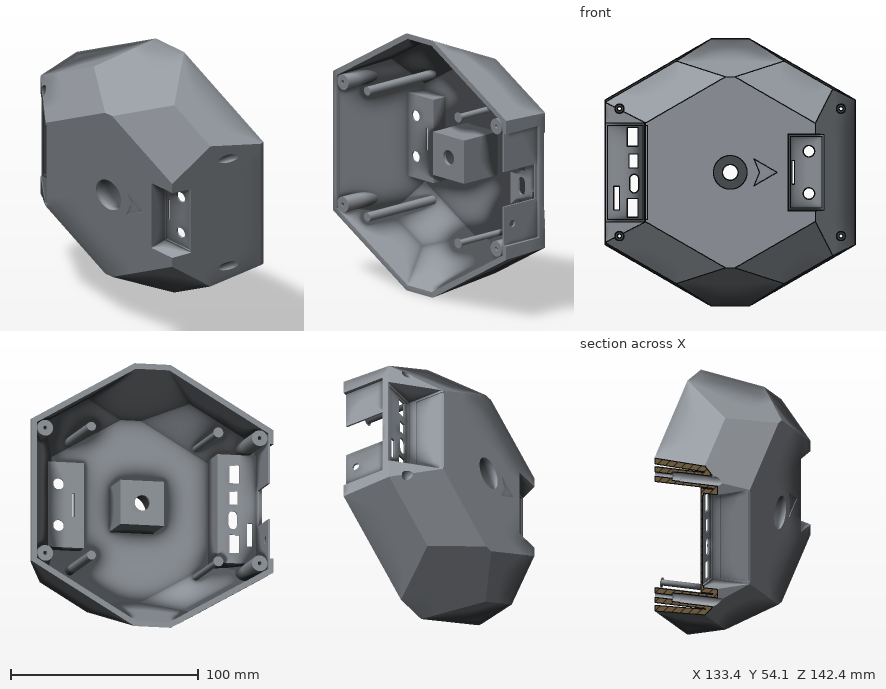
import cadquery as cq

DEPTH = 49.0
WALL = 3.0
PLATE = 1.0
PANEL_INSET = 0.7
BREAK_Y = -28.8

RIM_APOTHEM = 66.7
BREAK_APOTHEM = 65.7
FRONT_APOTHEM = 45.3
LEFT_FRONT_APOTHEM = 45.0
TIP_HEIGHT = 71.2
TIP_FRONT_HEIGHT = 50.9
RIM_BAND = 2.3

DIAGONAL_PROFILE = [(RIM_APOTHEM, 0), (BREAK_APOTHEM, BREAK_Y), (FRONT_APOTHEM, -DEPTH)]
LEFT_PROFILE = [(RIM_APOTHEM, 0), (RIM_APOTHEM, BREAK_Y), (LEFT_FRONT_APOTHEM, -DEPTH)]
RIGHT_PROFILE = [(RIM_APOTHEM, 0), (RIM_APOTHEM, -RIM_BAND), (FRONT_APOTHEM, -DEPTH)]
TIP_PROFILE = [(TIP_HEIGHT, 0), (TIP_FRONT_HEIGHT, -DEPTH)]

FACETS = {
    0: RIGHT_PROFILE,
    60: DIAGONAL_PROFILE,
    90: TIP_PROFILE,
    120: DIAGONAL_PROFILE,
    180: LEFT_PROFILE,
    240: DIAGONAL_PROFILE,
    270: TIP_PROFILE,
    300: DIAGONAL_PROFILE,
}
REACH = 171.0

BAY_HALF_HEIGHT = 26.4
BAY_WALL_X = -45.6
BAY_FLOOR_Y = -28.0
BAY_PANEL_X = (-65.4, -46.5)
BAY_PANEL_HALF_HEIGHT = 25.1
BAY_RELIEF = 0.4
BAY_RELIEF_Y = -32.2
BAY_BEVEL_X = -44.0
BAY_BEVEL_HEIGHT = 0.9
TALL_PORT_X = (-54.7, -49.2)
TALL_PORT_Z = (14.0, 23.8)
SMALL_PORT_X = (-53.9, -49.2)
SMALL_PORT_Z = (2.4, 9.7)
ROUND_PORT_X = -51.2
ROUND_PORT_Z = -6.0
ROUND_PORT_WIDTH = 4.7
ROUND_PORT_LENGTH = 9.8
CARD_PORT_X = (-62.0, -59.0)
CARD_PORT_Z = (-20.0, -7.4)

SENSOR_X = (31.0, 67.0)
SENSOR_HALF_HEIGHT = 20.1
SENSOR_FLOOR_Y = -39.0
SENSOR_PANEL_X = (32.0, 48.7)
SENSOR_PANEL_HALF_HEIGHT = 19.1
SENSOR_HOLE_X = 41.9
SENSOR_HOLE_Z = 11.3
SENSOR_HOLE_DIAMETER = 6.0
SENSOR_DRAFT = 2.5
SLIT_X = (32.9, 34.2)
SLIT_HALF_HEIGHT = 6.3

RECESS_DEPTH = WALL - PLATE
RECESS_HALF_HEIGHT = 31.0
RECESS_END_Y = -24.5
RECESS_CORNER = 0.5
SHEET_EDGE_Y = -0.3
WINDOW_HALF_HEIGHT = 9.7
WINDOW_END_Y = -23.2
SIDE_HOLE_Y = -6.4
SIDE_HOLE_Z = -20.0
SIDE_HOLE_DIAMETER = 4.0

BORE_DIAMETER = 18.0
BORE_HOLE_DIAMETER = 8.3
CENTRE_BOSS_WIDTH = 24.0
CENTRE_BOSS_END_Y = -21.5
BORE_FLOOR = 2.0

ARROW_TIP_X = 25.0
ARROW_NOTCH_X = 15.5
ARROW_TAIL_X = 12.7
ARROW_HALF_HEIGHT = 7.1
ARROW_DEPTH = 0.4

SCREW_X = 59.0
SCREW_Z = 33.9
SCREW_BOSS_DIAMETER = 8.5
SCREW_HOLE_DIAMETER = 2.1
HEAD_DIAMETER = 5.0
HEAD_SEAT_DIAMETER = 4.5
HEAD_SEAT_Y = -10.0
HEAD_STEP_Y = -14.2

PEG_OFFSET = 34.9
PEG_START_Y = -43.5
PEG_END_Y = 5.1
PEG_DIAMETER = 4.8
THIN_PEG_DIAMETER = 3.3
PEG_HEAD_DIAMETER = 5.4
PEG_HEAD = 0.3


def box(x_range, y_range, z_range):
    """Box between two limits along each axis."""
    sizes = [high - low for low, high in (x_range, y_range, z_range)]
    corner = (x_range[0], y_range[0], z_range[0])
    return cq.Workplane("XY").box(*sizes, centered=False).translate(corner)


def rod(x, z, diameter, y_start, y_end):
    """Cylinder along Y."""
    plane = cq.Workplane("XZ", origin=(0, y_start, 0))
    return plane.center(x, z).circle(diameter / 2).extrude(y_start - y_end)


def both(half):
    """Limits of a span that is symmetric about zero."""
    return (-half, half)


def faceted_solid(inset, front_y):
    """Convex solid bounded by all facets moved inwards by `inset` and cut at `front_y`."""
    solid = box(both(REACH), (front_y, 0), both(REACH))
    for angle, profile in FACETS.items():
        edge = [(distance - inset, y) for distance, y in profile]
        outline = [(-REACH, 0)] + edge + [(-REACH, -DEPTH)]
        slab = cq.Workplane("XY").polyline(outline).close().extrude(REACH, both=True)
        solid = solid.intersect(slab.rotate((0, 0, 0), (0, 1, 0), -angle))
    return solid


def inner_supports():
    """Walls around the bays, the centre boss and the screw bosses, before clipping."""
    panel_back = PANEL_INSET + PLATE
    bay_x = (-REACH, BAY_WALL_X + WALL)
    bay_y = (-DEPTH, BAY_FLOOR_Y + panel_back)
    supports = box(bay_x, bay_y, both(BAY_HALF_HEIGHT + WALL))
    sensor_x = (SENSOR_X[0] - WALL, SENSOR_X[1])
    sensor_y = (-DEPTH, SENSOR_FLOOR_Y + panel_back)
    supports = supports.union(box(sensor_x, sensor_y, both(SENSOR_HALF_HEIGHT + WALL)))
    boss_span = both(CENTRE_BOSS_WIDTH / 2)
    supports = supports.union(box(boss_span, (-DEPTH, CENTRE_BOSS_END_Y), boss_span))
    for x in both(SCREW_X):
        for z in both(SCREW_Z):
            supports = supports.union(rod(x, z, SCREW_BOSS_DIAMETER, -DEPTH, 0))
    return supports


def port_bay():
    """Everything removed for the port bay."""
    relief_half = BAY_PANEL_HALF_HEIGHT
    cut = box((-REACH, BAY_WALL_X), (-REACH, BAY_FLOOR_Y), both(BAY_HALF_HEIGHT))
    relief_x = BAY_WALL_X + BAY_RELIEF
    cut = cut.union(box((-REACH, relief_x), (-REACH, BAY_RELIEF_Y), both(relief_half)))

    bevel_points = [
        (BAY_BEVEL_X, -DEPTH),
        (relief_x, -DEPTH + BAY_BEVEL_HEIGHT),
        (relief_x, -DEPTH),
    ]
    bevel = cq.Workplane("XY").polyline(bevel_points).close()
    cut = cut.union(bevel.extrude(relief_half, both=True))

    panel_y = (BAY_FLOOR_Y - PANEL_INSET, BAY_FLOOR_Y + PANEL_INSET)
    cut = cut.union(box(BAY_PANEL_X, panel_y, both(BAY_PANEL_HALF_HEIGHT)))
    through = (BAY_FLOOR_Y - PLATE, BAY_FLOOR_Y + WALL)
    lower_tall_z = (-TALL_PORT_Z[1], -TALL_PORT_Z[0])
    cut = cut.union(box(TALL_PORT_X, through, TALL_PORT_Z))
    cut = cut.union(box(TALL_PORT_X, through, lower_tall_z))
    cut = cut.union(box(SMALL_PORT_X, through, SMALL_PORT_Z))
    cut = cut.union(box(CARD_PORT_X, through, CARD_PORT_Z))
    round_port = cq.Workplane("XZ", origin=(ROUND_PORT_X, through[0], ROUND_PORT_Z))
    round_port = round_port.slot2D(ROUND_PORT_LENGTH, ROUND_PORT_WIDTH, 90)
    return cut.union(round_port.extrude(through[0] - through[1]))


def sensor_bay():
    """Everything removed for the sensor bay."""
    middle = (SENSOR_X[0] + SENSOR_X[1]) / 2
    floor = cq.Workplane("XZ", origin=(middle, SENSOR_FLOOR_Y, 0))
    floor = floor.rect(SENSOR_X[1] - SENSOR_X[0], 2 * SENSOR_HALF_HEIGHT)
    cut = floor.extrude(DEPTH + SENSOR_FLOOR_Y, taper=-SENSOR_DRAFT)
    panel_y = (SENSOR_FLOOR_Y - PANEL_INSET, SENSOR_FLOOR_Y + PANEL_INSET)
    cut = cut.union(box(SENSOR_PANEL_X, panel_y, both(SENSOR_PANEL_HALF_HEIGHT)))
    start, end = SENSOR_FLOOR_Y - PLATE, SENSOR_FLOOR_Y + WALL
    cut = cut.union(box(SLIT_X, (start, end), both(SLIT_HALF_HEIGHT)))
    for z in both(SENSOR_HOLE_Z):
        cut = cut.union(rod(SENSOR_HOLE_X, z, SENSOR_HOLE_DIAMETER, start, end))
    return cut


def side_wall_openings():
    """Recess, window and hole in the left wall."""
    left = -RIM_APOTHEM
    recess = box((left, left + RECESS_DEPTH), (RECESS_END_Y, PLATE), both(RECESS_HALF_HEIGHT))
    cut = recess.edges("|X and <Y").fillet(RECESS_CORNER)
    through = (left, left + WALL)
    cut = cut.union(box(through, (SHEET_EDGE_Y, PLATE), both(RECESS_HALF_HEIGHT)))
    cut = cut.union(box(through, (WINDOW_END_Y, PLATE), both(WINDOW_HALF_HEIGHT)))
    hole = cq.Workplane("YZ", origin=(left, 0, 0)).center(SIDE_HOLE_Y, SIDE_HOLE_Z)
    return cut.union(hole.circle(SIDE_HOLE_DIAMETER / 2).extrude(WALL))


def centre_bore():
    """Wide bore from the front and the small hole in its floor."""
    bore = rod(0, 0, BORE_DIAMETER, -DEPTH, CENTRE_BOSS_END_Y - BORE_FLOOR)
    return bore.union(rod(0, 0, BORE_HOLE_DIAMETER, -DEPTH, CENTRE_BOSS_END_Y))


def arrow():
    """Arrowhead pointing towards +X."""
    points = [
        (ARROW_TIP_X, 0),
        (ARROW_TAIL_X, ARROW_HALF_HEIGHT),
        (ARROW_NOTCH_X, 0),
        (ARROW_TAIL_X, -ARROW_HALF_HEIGHT),
    ]
    plane = cq.Workplane("XZ", origin=(0, -DEPTH, 0))
    return plane.polyline(points).close().extrude(-ARROW_DEPTH)


def screw_hole(x, z):
    """Stepped head counterbore from the front with a through hole to the rim."""
    hole = rod(x, z, HEAD_DIAMETER, -DEPTH, HEAD_STEP_Y)
    hole = hole.union(rod(x, z, HEAD_SEAT_DIAMETER, -DEPTH, HEAD_SEAT_Y))
    return hole.union(rod(x, z, SCREW_HOLE_DIAMETER, -DEPTH, 0))


def thin_peg(x, z):
    """Slim peg with a thin flat head."""
    peg = rod(x, z, THIN_PEG_DIAMETER, PEG_START_Y, PEG_END_Y)
    return peg.union(rod(x, z, PEG_HEAD_DIAMETER, PEG_END_Y - PEG_HEAD, PEG_END_Y))


outer = faceted_solid(0, -DEPTH)
shell = outer.cut(faceted_solid(WALL, -DEPTH + WALL))
result = shell.union(inner_supports().intersect(outer))

for z in both(PEG_OFFSET):
    result = result.union(thin_peg(-PEG_OFFSET, z))
    result = result.union(rod(PEG_OFFSET, z, PEG_DIAMETER, PEG_START_Y, PEG_END_Y))

for cut in (port_bay(), sensor_bay(), side_wall_openings(), centre_bore(), arrow()):
    result = result.cut(cut)
for x in both(SCREW_X):
    for z in both(SCREW_Z):
        result = result.cut(screw_hole(x, z))